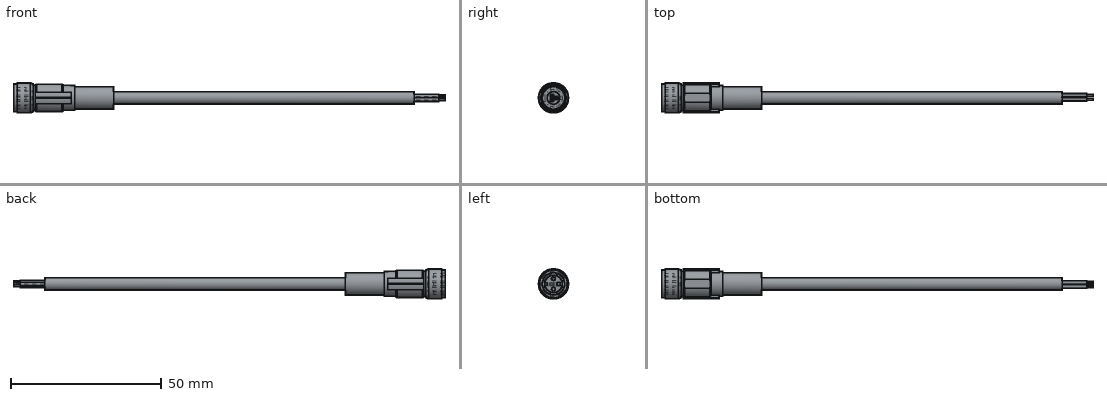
import cadquery as cq
import math

ring_start = 1.3
ring_end = 5.6
ring_taper_end = 6.5
grip_start = 7.3
grip_end = 16.5
collar_end = 20.4
relief_end = 33.3
jacket_end = 133.3
wire_end = 141.5
total_length = 143.7

ring_radius = 5.0
ring_edge_radius = 4.65
neck_radius = 4.25
grip_radius = 4.78
collar_radius = 4.2
relief_radius = 3.75
jacket_radius = 2.1

grip_chamfer = 0.45

flat_height = 4.55
rib_half_width = 1.95
rib_end = 19.2
rib_split_width = 0.4
rib_split_depth = 0.15

nose_radius = 2.9
socket_radius = 3.7
groove_depth = 4.0
tab_count = 4
tab_width = 2.2
tab_setback = 1.0
contact_circle_radius = 1.72
contact_angles = (90, 180, 270)
contact_hole_diameter = 1.2
contact_hole_depth = 6.0
key_width = 0.9
key_floor_radius = 2.0

wire_diameter = 1.22
conductor_diameter = 0.75
pair_pitch = 1.24
pair_y = -0.45
single_wire_y = 0.9
wire_centers = [
    (single_wire_y, 0),
    (pair_y, pair_pitch / 2),
    (pair_y, -pair_pitch / 2),
]


def rod(start, end, radius, y=0.0, z=0.0):
    """Cylinder along +X between two axial stations."""
    base = cq.Workplane("YZ", origin=(start, y, z))
    return base.circle(radius).extrude(end - start)


def block(start, end, y_range, z_range):
    """Axis-aligned block given by its limits."""
    size = (end - start, y_range[1] - y_range[0], z_range[1] - z_range[0])
    corner = (start, y_range[0], z_range[0])
    return cq.Workplane("XY", origin=corner).box(*size, centered=False)


def polar(radius, degrees):
    """Y and Z of a point on a circle around the part axis."""
    angle = math.radians(degrees)
    return radius * math.cos(angle), radius * math.sin(angle)


def make_body():
    """Turned coupling ring, neck, grip, collar, strain relief and cable jacket."""
    grip_edge_radius = grip_radius - grip_chamfer
    outline = [
        (0, 0),
        (0, ring_edge_radius),
        (ring_start, ring_edge_radius),
        (ring_start, ring_radius),
        (ring_end, ring_radius),
        (ring_taper_end, ring_edge_radius),
        (ring_taper_end, neck_radius),
        (grip_start, neck_radius),
        (grip_start, grip_edge_radius),
        (grip_start + grip_chamfer, grip_radius),
        (grip_end - grip_chamfer, grip_radius),
        (grip_end, grip_edge_radius),
        (grip_end, collar_radius),
        (collar_end, collar_radius),
        (collar_end, relief_radius),
        (relief_end, relief_radius),
        (relief_end, jacket_radius),
        (jacket_end, jacket_radius),
        (jacket_end, 0),
    ]
    return cq.Workplane("XY").polyline(outline).close().revolve(360, (0, 0, 0), (1, 0, 0))


def cut_grip_flats(body):
    """Flats on the top and bottom of the grip."""
    side = (-ring_radius, ring_radius)
    upper = block(grip_start, grip_end, side, (flat_height, ring_radius))
    lower = block(grip_start, grip_end, side, (-ring_radius, -flat_height))
    return body.cut(upper).cut(lower)


def add_grip_ribs(body):
    """Rounded ribs on both sides of the grip, each split by a shallow groove."""
    height = (-rib_half_width, rib_half_width)
    envelope = block(grip_start, rib_end, (-ring_radius, ring_radius), height)
    body = body.union(rod(grip_start, rib_end, ring_radius).intersect(envelope))
    split = (-rib_split_width / 2, rib_split_width / 2)
    floor = ring_radius - rib_split_depth
    body = body.cut(block(grip_start, rib_end, (floor, ring_radius), split))
    return body.cut(block(grip_start, rib_end, (-ring_radius, -floor), split))


def cut_socket(body):
    """Annular groove with four set-back tabs, contact holes and a keyway."""
    groove = rod(0, groove_depth, socket_radius).cut(rod(0, groove_depth, nose_radius))
    for index in range(tab_count):
        tab = block(tab_setback, groove_depth, (0, ring_radius), (-tab_width / 2, tab_width / 2))
        groove = groove.cut(tab.rotate((0, 0, 0), (1, 0, 0), index * 360 / tab_count))
    body = body.cut(groove)
    for degrees in contact_angles:
        y, z = polar(contact_circle_radius, degrees)
        body = body.cut(rod(0, contact_hole_depth, contact_hole_diameter / 2, y, z))
    keyway = block(0, groove_depth, (key_floor_radius, nose_radius), (-key_width / 2, key_width / 2))
    return body.cut(keyway)


def add_wires(body):
    """Insulated wires with bare conductor ends."""
    for y, z in wire_centers:
        body = body.union(rod(jacket_end, wire_end, wire_diameter / 2, y, z))
        body = body.union(rod(wire_end, total_length, conductor_diameter / 2, y, z))
    return body


result = add_wires(cut_socket(add_grip_ribs(cut_grip_flats(make_body()))))